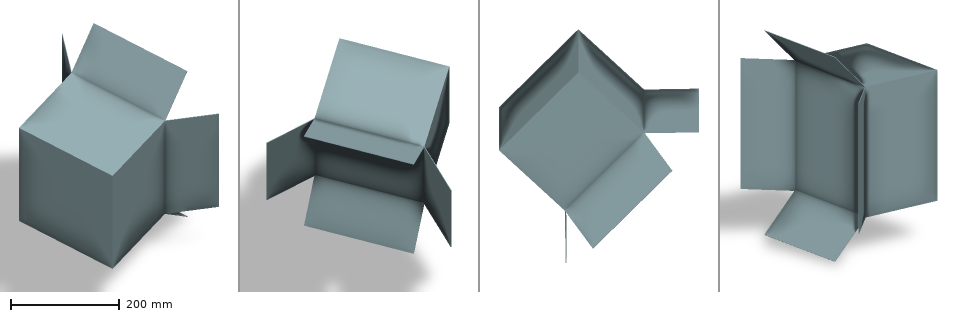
import cadquery as cq
import math

total_width = 354.0
total_depth = 241.0
total_height = 396.0
flap_thickness = 1.0
flap_angle = 45
flap_reach = 71.5

flap_tilt = math.radians(flap_angle)
box_width = total_width - 2 * flap_reach
box_height = total_height - 2 * flap_reach

flap_length = flap_reach / math.sin(flap_tilt)
flap_rise = flap_length * math.cos(flap_tilt) + flap_thickness * math.sin(flap_tilt)
box_depth = total_depth - flap_rise
mouth_y = total_depth / 2 - flap_rise


def make_box():
    """Block whose +Y face lies at the flap hinges."""
    box = cq.Workplane("XY").box(box_width, box_depth, box_height)
    return box.translate((0, mouth_y - box_depth / 2, 0))


def make_flap(half_span, flap_width):
    """Flap hinged at X = half_span, tilted outward, with its width along Z."""
    sideways = math.sin(flap_tilt)
    forward = math.cos(flap_tilt)
    hinge = (half_span, mouth_y)
    outer_tip = (half_span + flap_length * sideways, mouth_y + flap_length * forward)
    inner_tip = (outer_tip[0] - flap_thickness * forward, outer_tip[1] + flap_thickness * sideways)
    inner_root = (half_span - flap_thickness / forward, mouth_y)
    profile = [hinge, outer_tip, inner_tip, inner_root]
    return cq.Workplane("XY").polyline(profile).close().extrude(flap_width / 2, both=True)


side_flap = make_flap(box_width / 2, box_height)
end_flap = make_flap(box_height / 2, box_width).rotate((0, 0, 0), (0, 1, 0), -90)

result = make_box()
for flap in (side_flap, end_flap):
    for turn in (0, 180):
        result = result.union(flap.rotate((0, 0, 0), (0, 1, 0), turn))